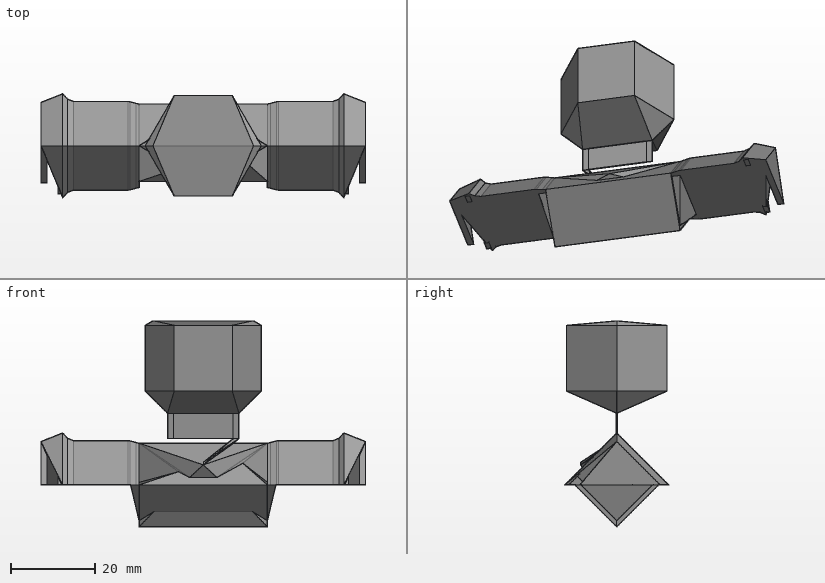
import cadquery as cq
import math

length = 77.0
width = 24.7
height = 48.9

barrel_half_length = 15.25
barrel_radius = 9.9
core_radius = 8.5
end_plate_thickness = 0.15
taper_end_x = 17.25
keel_half_length = 11.7
keel_radius = core_radius
keel_crease_depth = 6.3

branch_tip_y = -8.55
branch_tip_z = 4.8
branch_foot_half_width = 3.2
branch_foot_z = 1.8
left_notch_x = -5.85
left_notch_z = 3.15
right_notch_x = 9.4
right_notch_z = 5.15
pit_floor_z = 0.6

rear_tip_y = 8.55
rear_tip_z = 3.1
rear_foot_z = 2.2

rim_x = 33.35
rim_radius = width / 2
mouth_radius = 10.3
sleeve_stations = [
    (rim_x, rim_radius),
    (32.2, 11.1),
    (30.8, 10.55),
    (17.9, 10.55),
    (17.3, 10.5),
    (15.95, 10.1),
    (barrel_half_length, barrel_radius),
]
lip_thickness = 1.5
lip_reach = 8.8

seal_thickness = 1.15
seal_outer_radius = 11.4
seal_inner_radius = 8.85

cap_top_z = height - barrel_radius
cap_shoulder_z = 37.9
cap_bottom_z = 22.25
cap_radius = 13.8
cap_ridge_half_length = 11.9
neck_top_z = 17.0
neck_bottom_z = 11.0
neck_half_width = 8.5
neck_inner_half_width = 7.1
neck_thickness = 0.15
neck_inner_thickness = 0.3

fin_tip_rise = 0.6
fin_root_x = 6.4
fin_root_depth = 0.8


def polyhedron(faces):
    """Solid bounded by flat faces, each a list of its corner points."""
    built = []
    for face in faces:
        outline = cq.Wire.makePolygon([cq.Vector(*p) for p in face], close=True)
        built.append(cq.Face.makeFromWires(outline))
    return cq.Workplane(cq.Solid.makeSolid(cq.Shell.makeShell(built)).fix())


def plate(corners, x_start, thickness):
    """Flat plate square to X, from its (y, z) corners."""
    return cq.Workplane("YZ", origin=(x_start, 0, 0)).polyline(corners).close().extrude(thickness)


def on_core(x, z):
    """Point of the core's sloping upper -Y face."""
    return (x, z - core_radius, z)


def make_barrel():
    end = barrel_half_length
    ridge_l, ridge_r = (-end, 0, barrel_radius), (end, 0, barrel_radius)
    back_l, back_r = (-end, barrel_radius, 0), (end, barrel_radius, 0)
    base_l, base_r = (-end, 0, -barrel_radius), (end, 0, -barrel_radius)
    front_l, front_r = on_core(-end, 0), on_core(end, 0)
    keel_l, keel_r = (-end, 0, -keel_radius), (end, 0, -keel_radius)
    crease_y = keel_crease_depth - keel_radius
    crease_l = (-keel_half_length, crease_y, -keel_crease_depth)
    crease_r = (keel_half_length, crease_y, -keel_crease_depth)
    tip = (0, branch_tip_y, branch_tip_z)
    foot_l = on_core(-branch_foot_half_width, branch_foot_z)
    foot_r = on_core(branch_foot_half_width, branch_foot_z)
    notch_l = on_core(left_notch_x, left_notch_z)
    notch_r = on_core(right_notch_x, right_notch_z)
    pit_l, pit_r = (-end, 0, pit_floor_z), (end, 0, pit_floor_z)
    rear_tip = (0, rear_tip_y, rear_tip_z)
    rear_foot_l = (-branch_foot_half_width, barrel_radius - rear_foot_z, rear_foot_z)
    rear_foot_r = (branch_foot_half_width, barrel_radius - rear_foot_z, rear_foot_z)
    return polyhedron([
        [ridge_l, rear_foot_l, rear_foot_r, ridge_r, back_r, back_l],
        [ridge_l, ridge_r, rear_tip],
        [ridge_l, rear_tip, rear_foot_l],
        [ridge_r, rear_tip, rear_foot_r],
        [rear_tip, rear_foot_l, rear_foot_r],
        [back_l, back_r, base_r, base_l],
        [ridge_l, back_l, base_l, keel_l, front_l, pit_l],
        [ridge_r, back_r, base_r, keel_r, front_r, pit_r],
        [ridge_l, ridge_r, tip],
        [ridge_l, tip, foot_l],
        [ridge_l, foot_l, notch_l],
        [ridge_l, notch_l, pit_l],
        [front_l, notch_l, pit_l],
        [tip, foot_l, foot_r],
        [ridge_r, tip, foot_r],
        [ridge_r, foot_r, notch_r],
        [ridge_r, notch_r, pit_r],
        [front_r, notch_r, pit_r],
        [front_l, notch_l, foot_l, foot_r, notch_r, front_r],
        [front_l, front_r, keel_r, crease_r, crease_l, keel_l],
        [keel_l, crease_l, base_l],
        [keel_r, crease_r, base_r],
        [crease_l, crease_r, base_r, base_l],
    ])


def make_fin():
    """Thin web from the neck's right end down to the branch tip."""
    outer = (neck_half_width, 0, neck_bottom_z)
    inner = (neck_inner_half_width, 0, neck_bottom_z)
    root = (fin_root_x, 0, barrel_radius - fin_root_depth)
    low_tip = (0, branch_tip_y, branch_tip_z)
    high_tip = (0, branch_tip_y, branch_tip_z + fin_tip_rise)
    return polyhedron([
        [outer, inner, high_tip],
        [outer, inner, root],
        [inner, root, low_tip],
        [inner, low_tip, high_tip],
        [outer, root, low_tip],
        [outer, low_tip, high_tip],
    ])


def make_sleeve():
    """Roof-shaped sleeve on the +X side, open toward -Y at its mouth."""
    back = [(x, r, 0) for x, r in sleeve_stations]
    ridge = [(x, 0, r) for x, r in sleeve_stations]
    front = [(x, -r, 0) for x, r in sleeve_stations]
    mouth_back = (length / 2, mouth_radius, 0)
    mouth_ridge = (length / 2, 0, mouth_radius)
    faces = [
        [mouth_back, mouth_ridge, ridge[0], back[0]],
        [mouth_ridge, ridge[0], front[0]],
        [mouth_ridge, mouth_back, front[0]],
        [mouth_back] + back + front[::-1],
        [back[-1], ridge[-1], front[-1]],
    ]
    for i in range(len(sleeve_stations) - 1):
        faces.append([back[i], ridge[i], ridge[i + 1], back[i + 1]])
        faces.append([front[i], ridge[i], ridge[i + 1], front[i + 1]])
    lip_corners = [(mouth_radius, 0), (0, mouth_radius), (-lip_reach, 0)]
    lip = plate(lip_corners, length / 2 - lip_thickness, lip_thickness)
    return polyhedron(faces).union(lip)


def make_taper():
    """End plate of the barrel and the wedge that runs from it to the sleeve."""
    corners = [(barrel_radius, 0), (-barrel_radius, 0), (0, -barrel_radius)]
    end_plate = plate(corners, barrel_half_length - end_plate_thickness, end_plate_thickness)
    root_back = (barrel_half_length, core_radius, 0)
    root_front = (barrel_half_length, -core_radius, 0)
    root_base = (barrel_half_length, 0, -core_radius)
    far_back = (taper_end_x, core_radius, 0)
    far_front = (taper_end_x, -core_radius, 0)
    wedge = polyhedron([
        [root_back, root_front, root_base],
        [far_back, far_front, root_base],
        [root_back, far_back, root_base],
        [root_front, far_front, root_base],
        [root_back, root_front, far_front, far_back],
    ])
    return end_plate.union(wedge)


def make_seal():
    """Roof-shaped seal behind the +X rim."""
    corners = [
        (seal_outer_radius, 0),
        (0, seal_outer_radius),
        (-seal_outer_radius, 0),
        (-seal_inner_radius, 0),
        (0, seal_inner_radius),
        (seal_inner_radius, 0),
    ]
    return plate(corners, rim_x, seal_thickness)


def make_housing(seals):
    half = make_sleeve().union(make_taper())
    housing = make_barrel().union(make_fin()).union(half).union(half.mirror("YZ"))
    for seal in seals:
        housing = housing.cut(seal)
    return housing


def make_cap():
    """Hexagonal head with a ridged top, narrowing to a thin flat neck."""
    angles = [math.radians(60 * i) for i in range(6)]
    outline = [(cap_radius * math.cos(a), cap_radius * math.sin(a)) for a in angles]
    top = [(x, y, cap_shoulder_z) for x, y in outline]
    bottom = [(x, y, cap_bottom_z) for x, y in outline]
    ridge_r = (cap_ridge_half_length, 0, cap_top_z)
    ridge_l = (-cap_ridge_half_length, 0, cap_top_z)
    half_neck = neck_thickness / 2
    neck_br = (neck_half_width, half_neck, neck_top_z)
    neck_bl = (-neck_half_width, half_neck, neck_top_z)
    neck_fl = (-neck_half_width, -half_neck, neck_top_z)
    neck_fr = (neck_half_width, -half_neck, neck_top_z)
    faces = [[top[i - 1], top[i], bottom[i], bottom[i - 1]] for i in range(6)]
    faces += [
        [ridge_l, ridge_r, top[1], top[2]],
        [ridge_l, ridge_r, top[5], top[4]],
        [ridge_r, top[0], top[1]],
        [ridge_r, top[0], top[5]],
        [ridge_l, top[3], top[2]],
        [ridge_l, top[3], top[4]],
        [bottom[1], bottom[2], neck_bl, neck_br],
        [bottom[4], bottom[5], neck_fr, neck_fl],
        [bottom[0], bottom[1], neck_br],
        [bottom[0], bottom[5], neck_fr],
        [bottom[0], neck_br, neck_fr],
        [bottom[3], bottom[2], neck_bl],
        [bottom[3], bottom[4], neck_fl],
        [bottom[3], neck_bl, neck_fl],
        [neck_br, neck_bl, neck_fl, neck_fr],
    ]
    neck_height = neck_top_z - neck_bottom_z
    neck = cq.Workplane("XY", origin=(0, 0, neck_bottom_z))
    blade = neck.rect(2 * neck_half_width, neck_thickness).extrude(neck_height)
    thick_blade = neck.rect(2 * neck_inner_half_width, neck_inner_thickness).extrude(neck_height)
    return polyhedron(faces).union(blade).union(thick_blade)


right_seal = make_seal()
seals = [right_seal, right_seal.mirror("YZ")]
housing = make_housing(seals)
cap = make_cap()

result = cq.Compound.makeCompound([
    *housing.solids().vals(),
    *cap.solids().vals(),
    *[seal.val() for seal in seals],
])